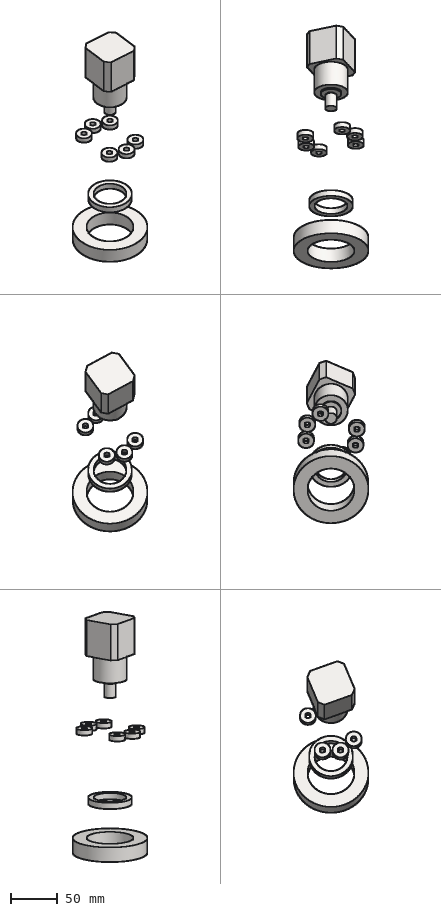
import cadquery as cq

TOTAL_HEIGHT = 259.0

BASE_OUTER_DIAMETER = 80.0
BASE_BORE_DIAMETER = 50.0
BASE_HEIGHT = 16.3

RING_OUTER_DIAMETER = 47.0
RING_BORE_DIAMETER = 35.0
RING_HEIGHT = 7.0
RING_BOTTOM_Z = 54.1

ROLLER_DIAMETER = 17.0
ROLLER_BORE_DIAMETER = 6.0
ROLLER_HEIGHT = 6.0
ROLLER_BOTTOM_Z = 132.0
ROLLER_SET_CENTER_X = -0.5
MIDDLE_ROLLER_OFFSET_X = 28.5
END_ROLLER_OFFSET_X = 21.5
END_ROLLER_OFFSET_Y = 18.0

BODY_WIDTH = 42.2
BODY_HEIGHT = 40.0
BODY_CORNER_CHAMFER = 5.5
GEARBOX_DIAMETER = 36.0
GEARBOX_HEIGHT = 27.5
FLANGE_DIAMETER = 22.0
FLANGE_HEIGHT = 1.8
NECK_DIAMETER = 8.0
NECK_HEIGHT = 2.0
SHAFT_DIAMETER = 12.7
SHAFT_HEIGHT = 15.5


def make_annulus(outer_diameter, bore_diameter, height, bottom_z, center=(0.0, 0.0)):
    """Flat ring with a through bore along Z."""
    return (
        cq.Workplane("XY", origin=(center[0], center[1], bottom_z))
        .circle(outer_diameter / 2)
        .circle(bore_diameter / 2)
        .extrude(height)
    )


def make_roller(offset_x, offset_y):
    """One roller, offset from the center of the roller set."""
    center = (ROLLER_SET_CENTER_X + offset_x, offset_y)
    return make_annulus(ROLLER_DIAMETER, ROLLER_BORE_DIAMETER, ROLLER_HEIGHT, ROLLER_BOTTOM_Z, center)


def make_motor():
    """Chamfered square body, then gearbox, flange, neck and shaft stacked downward."""
    stage_top_z = TOTAL_HEIGHT - BODY_HEIGHT
    motor = (
        cq.Workplane("XY", origin=(0, 0, stage_top_z))
        .rect(BODY_WIDTH, BODY_WIDTH)
        .extrude(BODY_HEIGHT)
        .edges("|Z")
        .chamfer(BODY_CORNER_CHAMFER)
    )
    stages = (
        (GEARBOX_DIAMETER, GEARBOX_HEIGHT),
        (FLANGE_DIAMETER, FLANGE_HEIGHT),
        (NECK_DIAMETER, NECK_HEIGHT),
        (SHAFT_DIAMETER, SHAFT_HEIGHT),
    )
    for diameter, height in stages:
        stage = cq.Workplane("XY", origin=(0, 0, stage_top_z)).circle(diameter / 2).extrude(-height)
        motor = motor.union(stage)
        stage_top_z -= height
    return motor


base_ring = make_annulus(BASE_OUTER_DIAMETER, BASE_BORE_DIAMETER, BASE_HEIGHT, 0.0)
small_ring = make_annulus(RING_OUTER_DIAMETER, RING_BORE_DIAMETER, RING_HEIGHT, RING_BOTTOM_Z)
motor = make_motor()

rollers = []
for side in (-1, 1):
    rollers.append(make_roller(side * MIDDLE_ROLLER_OFFSET_X, 0.0).val())
    for end in (-1, 1):
        rollers.append(make_roller(side * END_ROLLER_OFFSET_X, end * END_ROLLER_OFFSET_Y).val())

result = cq.Compound.makeCompound([base_ring.val(), small_ring.val(), motor.val(), *rollers])